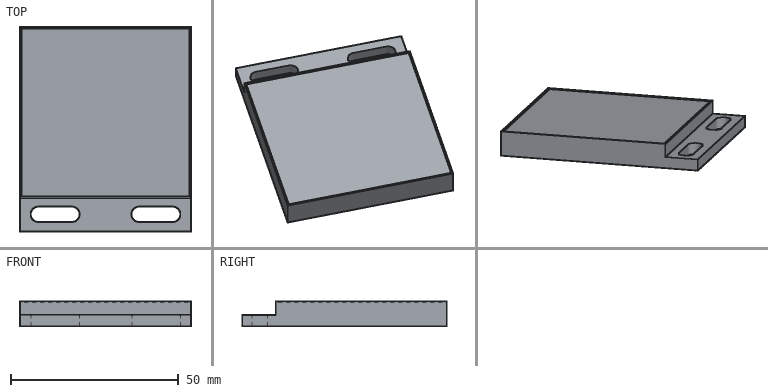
import cadquery as cq

width = 51.0
length = 61.0
height = 7.5

body_length = width
flange_length = length - body_length
flange_height = 3.5

rim_width = 0.5
recess_depth = 0.25

slot_length = 14.5
slot_width = 4.5
slot_spacing = 30.0
slot_center_y = 5.2


def make_body():
    """Stepped side profile extruded across the width, centred on X."""
    profile = [
        (0, 0),
        (length, 0),
        (length, height),
        (flange_length, height),
        (flange_length, flange_height),
        (0, flange_height),
    ]
    return cq.Workplane("YZ").polyline(profile).close().extrude(width / 2, both=True)


def make_recess():
    """Square panel area sunk into the top of the raised body."""
    recess_side = body_length - 2 * rim_width
    return (
        cq.Workplane("XY", origin=(0, flange_length + body_length / 2, height - recess_depth))
        .rect(recess_side, recess_side)
        .extrude(recess_depth)
    )


def make_slots():
    """Pair of round-ended slots running along X."""
    return (
        cq.Workplane("XY")
        .pushPoints([(side * slot_spacing / 2, slot_center_y) for side in (-1, 1)])
        .slot2D(slot_length, slot_width)
        .extrude(flange_height)
    )


result = make_body().cut(make_recess()).cut(make_slots())